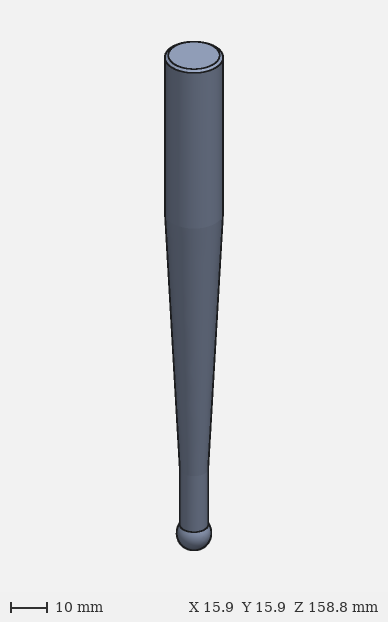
import cadquery as cq
import math

overall_length = 158.8
handle_diameter = 15.9
handle_length = 50.8
neck_diameter = 7.8
taper_bottom_z = 25.5
ball_diameter = 9.5
chamfer_width = 1.0
chamfer_height = 0.6

handle_radius = handle_diameter / 2
neck_radius = neck_diameter / 2
ball_radius = ball_diameter / 2
handle_bottom_z = overall_length - handle_length
joint_z = ball_radius + math.sqrt(ball_radius**2 - neck_radius**2)


def make_shank():
    """Straight neck, taper and chamfered handle, turned about Z."""
    return (
        cq.Workplane("XZ")
        .moveTo(0, joint_z)
        .lineTo(neck_radius, joint_z)
        .lineTo(neck_radius, taper_bottom_z)
        .lineTo(handle_radius, handle_bottom_z)
        .lineTo(handle_radius, overall_length - chamfer_height)
        .lineTo(handle_radius - chamfer_width, overall_length)
        .lineTo(0, overall_length)
        .close()
        .revolve(360, (0, 0), (0, 1))
    )


def make_ball_tip():
    """Ball resting on Z = 0, with a flat top that meets the neck."""
    return (
        cq.Workplane("XZ")
        .moveTo(0, 0)
        .threePointArc((ball_radius, ball_radius), (neck_radius, joint_z))
        .lineTo(0, joint_z)
        .close()
        .revolve(360, (0, 0), (0, 1))
    )


shank = make_shank()
ball_tip = make_ball_tip()

result = cq.Compound.makeCompound([shank.val(), ball_tip.val()])